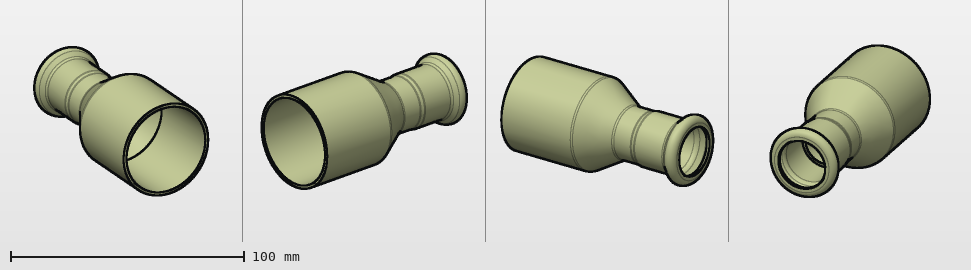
import cadquery as cq
import math

total_length = 87.0
wall = 1.5

socket_radius = 25.0 / 2
mouth_radius = 22.0 / 2
bead_radius = 3.0
bead_center_radius = 12.8
bead_flank_angle = math.radians(45)
bead_blend_radius = 1.8

neck_radius = 24.0 / 2
neck_bore_radius = 19.1 / 2
step_start = 22.9
step_end = 25.0
step_blend_radius = 2.4
socket_depth = step_end

flare_start = 34.45
flare_end = 49.9
flare_blend_radius = 1.9
pipe_radius = 42.0 / 2
pipe_bore_radius = pipe_radius - wall


def bead_point(radius, angle):
    """Point (x, r) on a circle about the bead centre; angle is measured from the +X direction."""
    return (
        bead_radius + radius * math.cos(angle),
        bead_center_radius + radius * math.sin(angle),
    )


def flank_foot(radius, tube_radius):
    """Point where the flank tangent to a bead circle meets a tube of the given radius."""
    tangent_x, tangent_r = bead_point(radius, bead_flank_angle)
    return (tangent_x + (tangent_r - tube_radius) * math.tan(bead_flank_angle), tube_radius)


def bead_arc(profile, radius):
    """Follow a bead circle from its front point over the crest to the start of the flank."""
    return profile.threePointArc(
        bead_point(radius, math.pi / 2),
        bead_point(radius, bead_flank_angle),
    )


def blended_corner(profile, before, corner, after, radius):
    """Draw up to a corner and round it with an arc tangent to both adjoining lines."""
    corner_point = cq.Vector(*corner)
    to_before = (cq.Vector(*before) - corner_point).normalized()
    to_after = (cq.Vector(*after) - corner_point).normalized()
    half_angle = to_before.getAngle(to_after) / 2
    setback = radius / math.tan(half_angle)
    center_distance = radius / math.sin(half_angle)
    arc_start = corner_point + to_before * setback
    arc_middle = corner_point + (to_before + to_after).normalized() * (center_distance - radius)
    arc_end = corner_point + to_after * setback
    return profile.lineTo(arc_start.x, arc_start.y).threePointArc(
        (arc_middle.x, arc_middle.y),
        (arc_end.x, arc_end.y),
    )


def revolve_about_x(profile):
    return profile.close().revolve(360, (0, 0, 0), (1, 0, 0))


def outer_body():
    corners = [
        (flank_foot(bead_radius, socket_radius), bead_blend_radius),
        ((step_start, socket_radius), step_blend_radius),
        ((step_end, neck_radius), step_blend_radius),
        ((flare_start, neck_radius), flare_blend_radius),
        ((flare_end, pipe_radius), flare_blend_radius),
    ]
    flank_start = bead_point(bead_radius, bead_flank_angle)
    pipe_end = (total_length, pipe_radius)
    path = [flank_start] + [point for point, _ in corners] + [pipe_end]

    profile = cq.Workplane("XY").lineTo(0, bead_center_radius)
    profile = bead_arc(profile, bead_radius)
    for index, (corner, radius) in enumerate(corners):
        profile = blended_corner(profile, path[index], corner, path[index + 2], radius)
    profile = profile.lineTo(*pipe_end).lineTo(total_length, 0)
    return revolve_about_x(profile)


def inner_cavity():
    groove_radius = bead_radius - wall
    groove_front = bead_point(groove_radius, math.pi)
    profile = cq.Workplane("XY").lineTo(0, mouth_radius).lineTo(groove_front[0], mouth_radius)
    profile = bead_arc(profile.lineTo(*groove_front), groove_radius)
    profile = blended_corner(
        profile,
        bead_point(groove_radius, bead_flank_angle),
        flank_foot(groove_radius, mouth_radius),
        (socket_depth, mouth_radius),
        bead_blend_radius + wall,
    )
    profile = (
        profile.lineTo(socket_depth, mouth_radius)
        .lineTo(socket_depth, neck_bore_radius)
        .lineTo(flare_start, neck_bore_radius)
        .lineTo(flare_end, pipe_bore_radius)
        .lineTo(total_length, pipe_bore_radius)
        .lineTo(total_length, 0)
    )
    return revolve_about_x(profile)


result = outer_body().cut(inner_cavity())